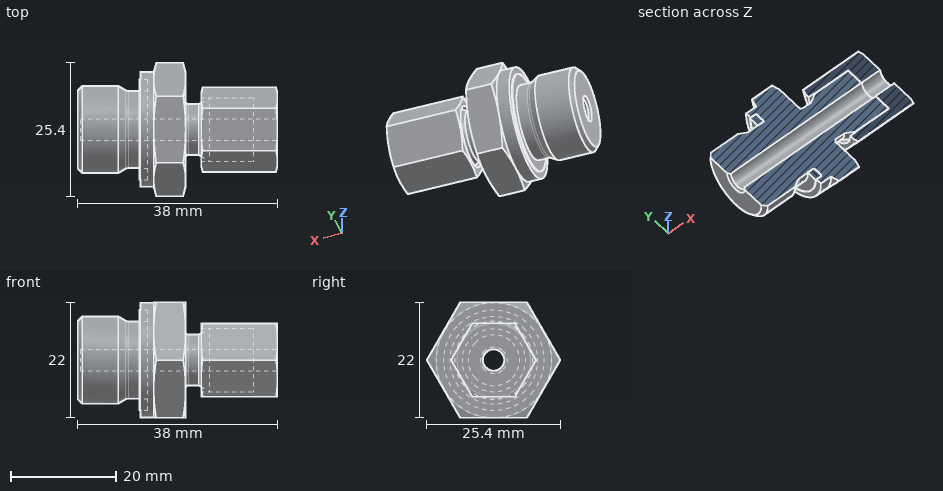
import cadquery as cq
import math


overall_length = 38.0
undercut_start_x = 7.68
collar_x = 11.95
hex_x = 14.48
hex_end_x = 20.52
nut_x = 23.5

thread_radius = 8.32
thread_chamfer = 0.87
undercut_radius = 7.37
undercut_angle = 30.0
undercut_fillet = 1.0

collar_radius = 10.95
seal_radius = 9.55
seal_thickness = 1.52
seal_protrusion = 0.2

body_hex_flats = 22.0
nut_hex_flats = 14.0
hex_chamfer_angle = 15.0

neck_radius = 4.85
neck_fillet = 0.5
neck_runout_x = 23.03
runout_angle = 30.0
stud_radius = 6.0
stud_length_in_nut = 9.88

bore_radius = 2.0
bore_chamfer = 0.5

groove_floor_x = collar_x - seal_protrusion + seal_thickness
runout_end_x = neck_runout_x + (stud_radius - neck_radius) / math.tan(math.radians(runout_angle))
stud_end_x = nut_x + stud_length_in_nut


def cylinder(start_x, end_x, radius):
    """Solid cylinder on the X axis."""
    return cq.Workplane("YZ", origin=(start_x, 0, 0)).circle(radius).extrude(end_x - start_x)


def revolve_about_x(profile):
    """Revolve a closed XY profile one full turn about the X axis."""
    return profile.close().revolve(360, (0, 0, 0), (1, 0, 0))


def chamfered_hexagon(start_x, end_x, flats):
    """Hexagonal prism with flats at top and bottom, its corners turned down conically at both ends."""
    flat_radius = flats / 2
    corner_radius = flat_radius / math.cos(math.pi / 6)
    chamfer_length = (corner_radius - flat_radius) * math.tan(math.radians(hex_chamfer_angle))
    prism = (
        cq.Workplane("YZ", origin=(start_x, 0, 0))
        .polygon(6, 2 * corner_radius)
        .extrude(end_x - start_x)
    )
    envelope = revolve_about_x(
        cq.Workplane("XY")
        .moveTo(start_x, 0)
        .lineTo(start_x, flat_radius)
        .lineTo(start_x + chamfer_length, corner_radius)
        .lineTo(end_x - chamfer_length, corner_radius)
        .lineTo(end_x, flat_radius)
        .lineTo(end_x, 0)
    )
    return prism.intersect(envelope)


def make_pipe_thread_end():
    """Chamfered thread cylinder with a conical undercut running into a filleted neck."""
    angle = math.radians(undercut_angle)
    cone_foot_radius = undercut_radius + undercut_fillet * (1 - math.cos(angle))
    cone_foot_x = undercut_start_x + (thread_radius - cone_foot_radius) / math.tan(angle)
    fillet_centre_x = cone_foot_x + undercut_fillet * math.sin(angle)
    fillet_mid_x = fillet_centre_x - undercut_fillet * math.sin(angle / 2)
    fillet_mid_radius = undercut_radius + undercut_fillet * (1 - math.cos(angle / 2))
    return revolve_about_x(
        cq.Workplane("XY")
        .lineTo(0, thread_radius - thread_chamfer)
        .lineTo(thread_chamfer, thread_radius)
        .lineTo(undercut_start_x, thread_radius)
        .lineTo(cone_foot_x, cone_foot_radius)
        .threePointArc((fillet_mid_x, fillet_mid_radius), (fillet_centre_x, undercut_radius))
        .lineTo(hex_x, undercut_radius)
        .lineTo(hex_x, 0)
    )


def make_collar():
    """Round collar with a recess for the seal ring in its front face."""
    recess = cylinder(collar_x, groove_floor_x, seal_radius)
    return cylinder(collar_x, hex_x, collar_radius).cut(recess)


def make_stud():
    """Neck filleted to the hexagon, widening conically to the stud inside the nut."""
    fillet_mid_offset = neck_fillet * (1 - math.sin(math.pi / 4))
    return revolve_about_x(
        cq.Workplane("XY")
        .moveTo(hex_end_x, 0)
        .lineTo(hex_end_x, neck_radius + neck_fillet)
        .threePointArc(
            (hex_end_x + fillet_mid_offset, neck_radius + fillet_mid_offset),
            (hex_end_x + neck_fillet, neck_radius),
        )
        .lineTo(neck_runout_x, neck_radius)
        .lineTo(runout_end_x, stud_radius)
        .lineTo(stud_end_x, stud_radius)
        .lineTo(stud_end_x, 0)
    )


def make_bore():
    """Through bore with a chamfered mouth at the pipe thread end."""
    mouth = revolve_about_x(
        cq.Workplane("XY")
        .lineTo(0, bore_radius + bore_chamfer)
        .lineTo(bore_chamfer, bore_radius)
        .lineTo(bore_chamfer, 0)
    )
    return cylinder(0, overall_length, bore_radius).union(mouth)


def make_fitting_body():
    return (
        make_pipe_thread_end()
        .union(make_collar())
        .union(chamfered_hexagon(hex_x, hex_end_x, body_hex_flats))
        .union(make_stud())
        .cut(make_bore())
    )


def make_seal_ring():
    """Flat ring around the undercut, standing slightly proud of the collar face."""
    front_x = collar_x - seal_protrusion
    inner = cylinder(front_x, groove_floor_x, undercut_radius)
    return cylinder(front_x, groove_floor_x, seal_radius).cut(inner)


def make_union_nut():
    """Hexagon nut with a socket for the stud and a passage through its end wall."""
    socket = cylinder(nut_x, stud_end_x, stud_radius)
    passage = cylinder(nut_x, overall_length, bore_radius)
    return chamfered_hexagon(nut_x, overall_length, nut_hex_flats).cut(socket).cut(passage)


fitting_body = make_fitting_body()
seal_ring = make_seal_ring()
union_nut = make_union_nut()

result = cq.Compound.makeCompound(
    [fitting_body.solids().val(), seal_ring.solids().val(), union_nut.solids().val()]
)